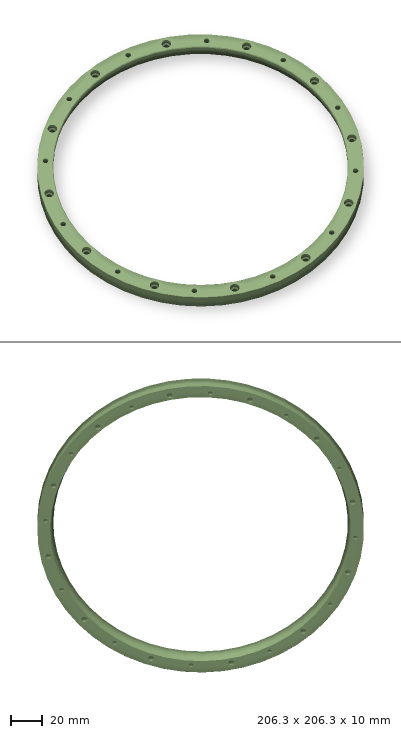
import cadquery as cq
import math

outer_diameter = 206.3
inner_diameter = 186.0
height = 10.0
rim_chamfer = 0.2
bore_chamfer = 0.5

land_height = 2.5
flare_angle = 15

pitch_radius = 98.0
holes_per_set = 12
hole_spacing = 360 / holes_per_set
screw_diameter = 3.5
counterbore_diameter = 6.0
counterbore_depth = 3.3
small_hole_diameter = 2.7
small_counterbore_diameter = 3.5
small_counterbore_depth = height / 2


def make_ring():
    """Revolve the ring cross-section, drawn as radius against height."""
    outer_radius = outer_diameter / 2
    inner_radius = inner_diameter / 2
    land_top = height - bore_chamfer
    land_bottom = land_top - land_height
    bore_flare = land_bottom * math.tan(math.radians(flare_angle))
    section = [
        (inner_radius + bore_flare, 0),
        (outer_radius - rim_chamfer, 0),
        (outer_radius, rim_chamfer),
        (outer_radius, height - rim_chamfer),
        (outer_radius - rim_chamfer, height),
        (inner_radius + bore_chamfer, height),
        (inner_radius, land_top),
        (inner_radius, land_bottom),
    ]
    return cq.Workplane("XZ").polyline(section).close().revolve(360, (0, 0, 0), (0, 1, 0))


def on_pitch_circle(body, start_angle):
    """Place one set of evenly spaced hole centres on the top face."""
    top = body.faces(">Z").workplane(origin=(0, 0, height))
    return top.polarArray(pitch_radius, start_angle, 360, holes_per_set)


ring = make_ring()

ring = on_pitch_circle(ring, 0).cboreHole(screw_diameter, counterbore_diameter, counterbore_depth)

result = on_pitch_circle(ring, hole_spacing / 2).cboreHole(
    small_hole_diameter, small_counterbore_diameter, small_counterbore_depth
)